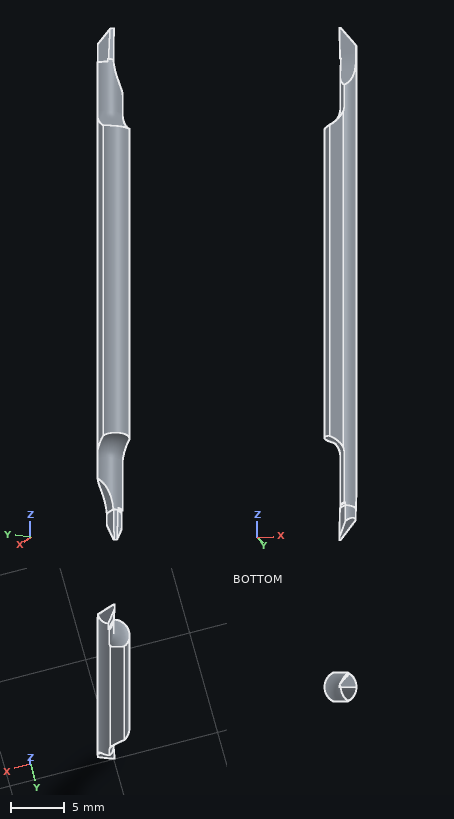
import cadquery as cq
import math


STOCK_RADIUS = 1.5
FLAT_DISTANCE = 1.35
TOTAL_LENGTH = 50.0
HALF_LENGTH = TOTAL_LENGTH / 2

SHANK_LENGTH = 30.0
NECK_LEFT_X = 0.03
NECK_RADIUS = 1.55
NECK_AXIS_X = NECK_LEFT_X + NECK_RADIUS

SHOULDER_RADIUS = 2.0
SHOULDER_DEPTH = STOCK_RADIUS + NECK_LEFT_X
SHOULDER_LENGTH = math.sqrt(SHOULDER_RADIUS**2 - (SHOULDER_RADIUS - SHOULDER_DEPTH) ** 2)
NECK_START_Z = SHANK_LENGTH / 2 + SHOULDER_LENGTH

GASH_RADIUS = 5.0
GASH_START_Z = 18.92
GASH_RUNOUT = math.sqrt(GASH_RADIUS**2 - (GASH_RADIUS - FLAT_DISTANCE) ** 2)
RAKE_START_Z = GASH_START_Z + GASH_RUNOUT

TIP_BASE_Z = 22.0
TIP_POINT_X = -0.13
POINT_FLAT = 0.13
PRIMARY_RELIEF_ANGLE = 15.0
BACK_TAPER_ANGLE = 1.5
SECONDARY_RELIEF_ANGLE = 45.0
SECONDARY_RAKE_X = -0.4
RELIEF_OVERRUN = 0.25
END_FACE_ANGLE = 51.0
END_RELIEF_ANGLE = 18.0

CLEARANCE = 3.0


def slope(angle):
    """Rise per unit of run at an angle in degrees."""
    return math.tan(math.radians(angle))


def turn_over(shape):
    """Turn an upper-end shape to the lower end."""
    return shape.rotate((0, 0, 0), (1, 0, 0), 180)


def stock(bottom_z, top_z):
    """Length of flatted rod between two heights."""
    length = top_z - bottom_z
    rod = cq.Workplane("XY").workplane(offset=bottom_z).circle(STOCK_RADIUS).extrude(length)
    slab = (
        cq.Workplane("XY")
        .workplane(offset=bottom_z)
        .rect(4 * STOCK_RADIUS, 2 * FLAT_DISTANCE)
        .extrude(length)
    )
    return rod.intersect(slab)


def neck_cutter():
    """Ring outside the neck, turned about the neck axis, with the shoulder arc at its foot."""
    outer_radius = NECK_RADIUS + SHOULDER_RADIUS
    arc_reach = SHOULDER_RADIUS * math.sqrt(0.5)
    top_z = HALF_LENGTH + CLEARANCE
    return (
        cq.Workplane("XZ")
        .moveTo(NECK_RADIUS, top_z)
        .lineTo(NECK_RADIUS, NECK_START_Z)
        .threePointArc(
            (outer_radius - arc_reach, NECK_START_Z - arc_reach),
            (outer_radius, NECK_START_Z - SHOULDER_RADIUS),
        )
        .lineTo(outer_radius, top_z)
        .close()
        .revolve(360, (0, 0, 0), (0, 1, 0))
        .translate((NECK_AXIS_X, 0, 0))
    )


def gash_cutter():
    """Removes the -Y half above the rake start, with an arc runout below it."""
    arc_reach = GASH_RADIUS * math.sqrt(0.5)
    top_z = HALF_LENGTH + CLEARANCE
    return (
        cq.Workplane("YZ")
        .moveTo(0, top_z)
        .lineTo(0, RAKE_START_Z)
        .threePointArc(
            (arc_reach - GASH_RADIUS, RAKE_START_Z - arc_reach),
            (-GASH_RADIUS, RAKE_START_Z - GASH_RADIUS),
        )
        .lineTo(-GASH_RADIUS, top_z)
        .close()
        .extrude(2 * STOCK_RADIUS, both=True)
    )


def block_behind_plane(origin, normal):
    """Large block on the side of a plane that the normal points to."""
    side = 8 * STOCK_RADIUS
    return cq.Workplane(cq.Plane(origin=origin, normal=normal)).rect(side, side).extrude(side)


def relieved_side():
    """Space on the +X side of the primary and secondary relief faces."""
    primary = block_behind_plane(
        (TIP_POINT_X, 0, HALF_LENGTH),
        (1, -slope(PRIMARY_RELIEF_ANGLE), slope(BACK_TAPER_ANGLE)),
    )
    secondary = block_behind_plane(
        (SECONDARY_RAKE_X, 0, HALF_LENGTH),
        (1, -slope(SECONDARY_RELIEF_ANGLE), 0),
    )
    return primary.intersect(secondary)


def relief_overrun_cutter():
    """Band of neck outside the relief faces, just below the tip base."""
    return stock(TIP_BASE_Z - RELIEF_OVERRUN, TIP_BASE_Z).cut(relieved_side())


def end_face_cutter():
    """Block above the end face, which starts at the far side of the flat point."""
    return block_behind_plane(
        (TIP_POINT_X + POINT_FLAT, 0, HALF_LENGTH),
        (slope(END_FACE_ANGLE), slope(END_RELIEF_ANGLE), 1),
    )


def make_tip():
    """Cutting tip of the upper end."""
    tip = stock(TIP_BASE_Z, HALF_LENGTH).intersect(relieved_side())
    return tip.cut(gash_cutter()).cut(end_face_cutter())


def make_bar():
    """Shank with a neck at each end and the upper tip."""
    bar = stock(-TIP_BASE_Z, TIP_BASE_Z)
    for cutter in (neck_cutter(), gash_cutter(), relief_overrun_cutter()):
        bar = bar.cut(cutter).cut(turn_over(cutter))
    return bar.union(make_tip())


bar = make_bar()
lower_tip = turn_over(make_tip())

result = cq.Compound.makeCompound([bar.val(), lower_tip.val()])